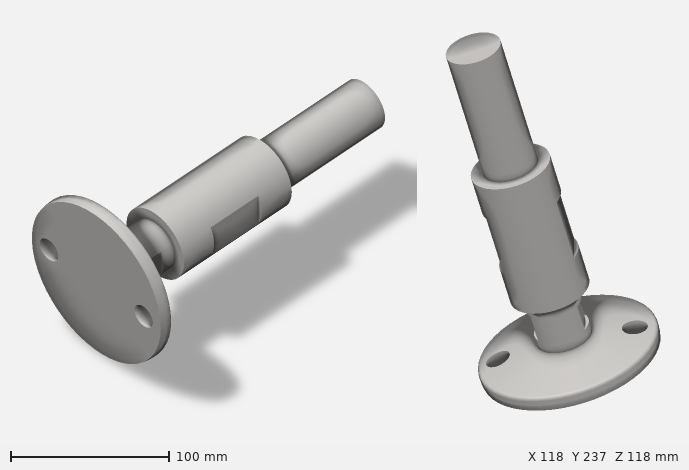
import cadquery as cq
import math


total_length = 237.0
plate_diameter = 118.0
plate_height = 16.4
slope_angle = 9.5
lower_rim_height = 4.0
rim_fillet = 2.5
spindle_diameter = 36.0
spindle_flat_width = 30.5
spindle_flat_length = 18.0
spindle_flat_start = 24.0

hole_diameter = 16.5
hole_offset = 42.8
hole_cutter_length = 3 * plate_height

sleeve_diameter = 52.0
sleeve_length = 95.0
sleeve_start = 52.0
sleeve_flat_width = 46.0
sleeve_flat_length = 42.0

slope = math.tan(math.radians(slope_angle))
plate_radius = plate_diameter / 2
spindle_radius = spindle_diameter / 2


def cylinder_y(diameter, start, length):
    """Cylinder on the Y axis, from Y = start towards +Y."""
    return cq.Workplane("XZ", origin=(0, start, 0)).circle(diameter / 2).extrude(-length)


def cut_flats(body, diameter, width, start, length):
    """Cut two parallel flats, facing -X and +X, over a stretch of a round body."""
    depth = (diameter - width) / 2
    for side in (-1, 1):
        cutter = cq.Workplane("XY").box(2 * depth, length, diameter)
        body = body.cut(cutter.translate((side * (width / 2 + depth), start + length / 2, 0)))
    return body


def make_plate():
    """Turned plate: tapered lower rim, straight band, rounded shoulder and shallow cone."""
    underside_radius = plate_radius - lower_rim_height * slope
    shoulder_height = plate_height - (plate_radius - spindle_radius) * slope
    turn = math.radians(90 - slope_angle)
    fillet_start = shoulder_height - rim_fillet * math.tan(turn / 2)
    fillet_centre_x = plate_radius - rim_fillet

    def fillet_point(angle):
        return fillet_centre_x + rim_fillet * math.cos(angle), fillet_start + rim_fillet * math.sin(angle)

    return (
        cq.Workplane("XY")
        .moveTo(0, 0)
        .lineTo(underside_radius, 0)
        .lineTo(plate_radius, lower_rim_height)
        .lineTo(plate_radius, fillet_start)
        .threePointArc(fillet_point(turn / 2), fillet_point(turn))
        .lineTo(spindle_radius, plate_height)
        .lineTo(0, plate_height)
        .close()
        .revolve(360, (0, 0, 0), (0, 1, 0))
    )


def cut_fixing_holes(plate):
    """Drill one hole on each side, leaning outwards towards the cone."""
    for side in (-1, 1):
        cutter = cylinder_y(hole_diameter, -hole_cutter_length / 2, hole_cutter_length)
        cutter = cutter.rotate((0, 0, 0), (0, 0, 1), -side * slope_angle)
        plate = plate.cut(cutter.translate((side * hole_offset, 0, 0)))
    return plate


def make_foot():
    """Foot plate and spindle in one piece, with spanner flats above the plate."""
    spindle = cylinder_y(spindle_diameter, 0, total_length)
    spindle = cut_flats(
        spindle, spindle_diameter, spindle_flat_width, spindle_flat_start, spindle_flat_length
    )
    return cut_fixing_holes(make_plate()).union(spindle)


def make_sleeve():
    """Sleeve bored to fit the spindle, with spanner flats at mid-length."""
    sleeve = cylinder_y(sleeve_diameter, sleeve_start, sleeve_length)
    flat_start = sleeve_start + (sleeve_length - sleeve_flat_length) / 2
    sleeve = cut_flats(sleeve, sleeve_diameter, sleeve_flat_width, flat_start, sleeve_flat_length)
    return sleeve.cut(cylinder_y(spindle_diameter, sleeve_start, sleeve_length))


foot = make_foot()
sleeve = make_sleeve()

result = cq.Compound.makeCompound([foot.val(), sleeve.val()])